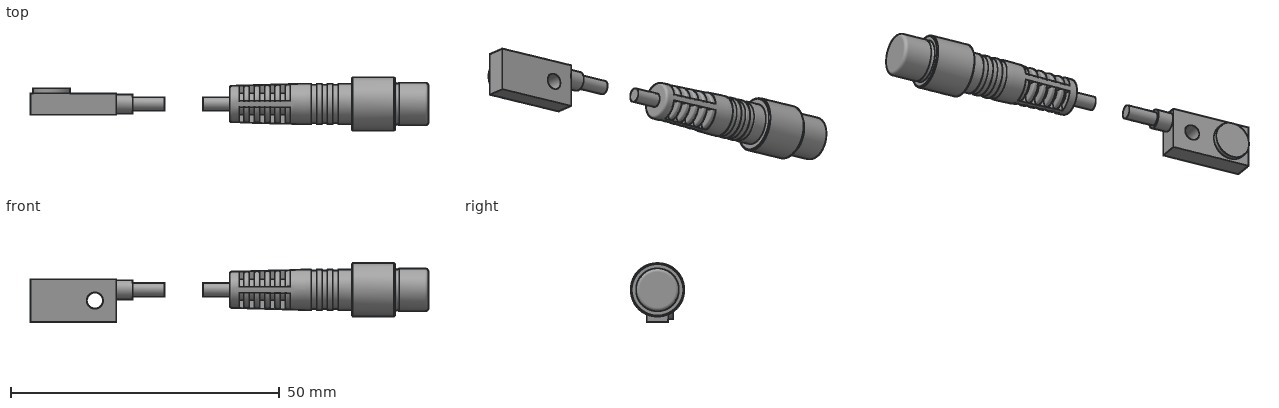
import cadquery as cq
import math


cable_dia = 2.6

block_length = 16.0
block_height = 8.0
block_thickness = 4.0
block_center_z = -2.0
collar_dia = 3.6
collar_length = 3.05
sensor_cable_end = 25.0
mounting_hole_dia = 3.0
mounting_hole_x = block_length - block_height / 2
boss_dia = 7.0
boss_height = 1.0
boss_x = 3.9

connector_start = 32.1
boot_start = 37.1
cone_end = 51.2
nut_start = 59.8
nut_end = 67.9
plug_start = 68.65
connector_end = 74.1

boot_start_dia = 6.8
boot_dia = 7.6
boot_fillet = 0.5
nut_dia = 10.0
nut_chamfer = 0.2
neck_dia = 7.6
plug_dia = 8.0
plug_fillet = 0.7

groove_dia = 7.2
groove_width = 1.3
groove_pitch = 2.0
groove_count = 3
first_groove_center = 52.8
groove_edge_radius = 0.185

slot_row_count = 4
slot_count = 5
slot_pitch = 1.9
slot_width = 0.9
first_slot_start = 38.85
slot_floor_radius = 2.0
slot_edge_radius = 0.33
rib_angle = 19.0
window_end = 48.3
ring_recess = 0.1


def x_cylinder(start, end, diameter):
    """A cylinder on the X axis between two X positions."""
    return cq.Workplane("YZ").workplane(offset=start).circle(diameter / 2).extrude(end - start)


def make_sensor():
    """Sensor block with its back boss, cross hole, collar and cable stub."""
    block = cq.Workplane("XY").box(block_length, block_thickness, block_height)
    block = block.translate((block_length / 2, 0, block_center_z))
    boss = (
        cq.Workplane("XZ")
        .center(boss_x, block_center_z)
        .circle(boss_dia / 2)
        .extrude(-(block_thickness / 2 + boss_height))
    )
    collar = x_cylinder(block_length, block_length + collar_length, collar_dia)
    cable = x_cylinder(block_length, sensor_cable_end, cable_dia)
    hole = (
        cq.Workplane("XZ")
        .center(mounting_hole_x, block_center_z)
        .circle(mounting_hole_dia / 2)
        .extrude(block_thickness, both=True)
    )
    return block.union(boss).union(collar).union(cable).cut(hole)


def boot_radius(x):
    """Outer radius of the conical part of the boot at a position along X."""
    taper = (boot_dia - boot_start_dia) / 2 / (cone_end - boot_start)
    return boot_start_dia / 2 + taper * (x - boot_start)


def make_boot():
    """Conical boot with a rounded cable end, ending in a cylinder that meets the nut."""
    profile = (
        cq.Workplane("XY")
        .moveTo(boot_start, 0)
        .lineTo(boot_start, boot_start_dia / 2)
        .lineTo(cone_end, boot_dia / 2)
        .lineTo(nut_start, boot_dia / 2)
        .lineTo(nut_start, 0)
        .close()
    )
    boot = profile.revolve(360, (0, 0), (1, 0))
    return boot.faces("<X").edges().fillet(boot_fillet)


def groove_cutter(center):
    """Ring that cuts one grip groove and rounds its two outer edges."""
    floor = groove_dia / 2
    surface = boot_dia / 2
    clear = nut_dia / 2
    half = groove_width / 2
    wall = half - groove_edge_radius
    shoulder = surface - groove_edge_radius
    bend = groove_edge_radius * (1 - math.sqrt(0.5))
    profile = (
        cq.Workplane("XY")
        .moveTo(center - wall, floor)
        .lineTo(center - wall, shoulder)
        .threePointArc((center - wall - bend, surface - bend), (center - half, surface))
        .lineTo(center - half, clear)
        .lineTo(center + half, clear)
        .lineTo(center + half, surface)
        .threePointArc((center + wall + bend, surface - bend), (center + wall, shoulder))
        .lineTo(center + wall, floor)
        .close()
    )
    return profile.revolve(360, (0, 0), (1, 0))


def ring_radius(x):
    """Outer radius of the rings between slots, set slightly below the ribs."""
    return boot_radius(x) - ring_recess


def slot_sector(profile):
    """Turn a profile into a ring sector, centred on +Y, that fills the space between two ribs."""
    sector_angle = 360 / slot_row_count - rib_angle
    sector = profile.close().revolve(sector_angle, (0, 0), (1, 0))
    return sector.rotate((0, 0, 0), (1, 0, 0), -sector_angle / 2)


def window_cutter():
    """Sector that lowers the rings of one slot row below the ribs."""
    profile = (
        cq.Workplane("XY")
        .moveTo(first_slot_start, ring_radius(first_slot_start))
        .lineTo(window_end, ring_radius(window_end))
        .lineTo(window_end, nut_dia / 2)
        .lineTo(first_slot_start, nut_dia / 2)
    )
    return slot_sector(profile)


def slot_cutter(start, left_edge_rounded):
    """Sector that cuts one slot between two ribs and rounds its edges with the rings."""
    end = start + slot_width
    clear = nut_dia / 2
    bend = slot_edge_radius * (1 - math.sqrt(0.5))
    right = end + slot_edge_radius
    right_surface = ring_radius(right)
    profile = (
        cq.Workplane("XY")
        .moveTo(start, slot_floor_radius)
        .lineTo(end, slot_floor_radius)
        .lineTo(end, right_surface - slot_edge_radius)
        .threePointArc((end + bend, right_surface - bend), (right, right_surface))
        .lineTo(right, clear)
    )
    if left_edge_rounded:
        left = start - slot_edge_radius
        left_surface = ring_radius(left)
        profile = (
            profile.lineTo(left, clear)
            .lineTo(left, left_surface)
            .threePointArc((start - bend, left_surface - bend), (start, left_surface - slot_edge_radius))
        )
    else:
        profile = profile.lineTo(start, clear)
    return slot_sector(profile)


def cut_slots(boot):
    """Cut all slot rows, leaving a lengthwise rib at the top, bottom, front and back."""
    row_angle = 360 / slot_row_count
    cutters = [window_cutter()]
    for slot in range(slot_count):
        cutters.append(slot_cutter(first_slot_start + slot * slot_pitch, left_edge_rounded=slot > 0))
    for cutter in cutters:
        for row in range(slot_row_count):
            boot = boot.cut(cutter.rotate((0, 0, 0), (1, 0, 0), (row + 0.5) * row_angle))
    return boot


def make_plug():
    """Plug with a rounded free end and a shallow round-bottomed neck next to the nut."""
    profile = (
        cq.Workplane("XY")
        .moveTo(nut_end, 0)
        .lineTo(nut_end, plug_dia / 2)
        .threePointArc(((nut_end + plug_start) / 2, neck_dia / 2), (plug_start, plug_dia / 2))
        .lineTo(connector_end, plug_dia / 2)
        .lineTo(connector_end, 0)
        .close()
    )
    plug = profile.revolve(360, (0, 0), (1, 0))
    return plug.faces(">X").edges().fillet(plug_fillet)


def make_connector():
    """Cable stub, slotted boot, coupling nut and plug as one body."""
    boot = cut_slots(make_boot())
    for groove in range(groove_count):
        boot = boot.cut(groove_cutter(first_groove_center + groove * groove_pitch))
    cable = x_cylinder(connector_start, boot_start, cable_dia)
    nut = x_cylinder(nut_start, nut_end, nut_dia).faces("<X or >X").edges().chamfer(nut_chamfer)
    return boot.union(cable).union(nut).union(make_plug())


sensor = make_sensor()
connector = make_connector()

result = cq.Compound.makeCompound([sensor.val(), connector.val()])